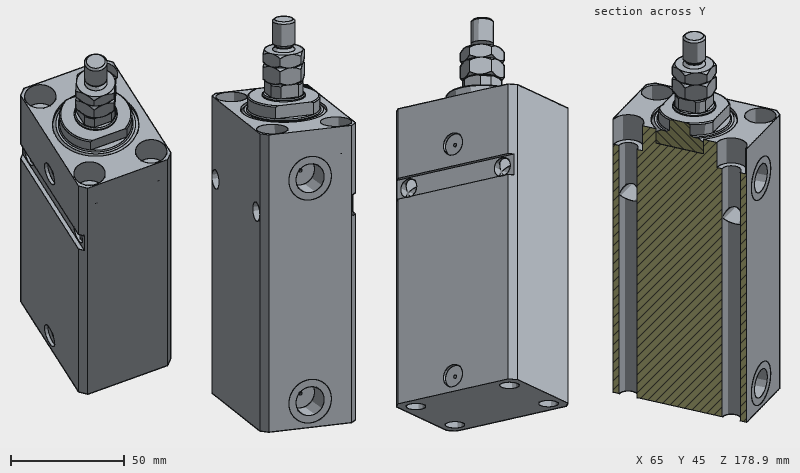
import cadquery as cq
import math

HOUSING_WIDTH = 65.0
HOUSING_DEPTH = 45.0
HOUSING_HEIGHT = 137.2
CORNER_CHAMFER = 3.0

MOUNT_SPACING_X = 50.1
MOUNT_SPACING_Y = 30.0
BOLT_DIAMETER = 8.5
COUNTERBORE_DIAMETER = 13.8
COUNTERBORE_DEPTH = 12.5

SLOT_DEPTH = 2.0
SLOT_HEIGHT = 9.7
SLOT_CENTRE_Z = HOUSING_HEIGHT - 37.2

UPPER_PORT_Z = HOUSING_HEIGHT - 22.2
SIDE_PORT_LOWER_Z = 12.2
SIDE_PORT_DIAMETER = 13.2
SIDE_PORT_DEPTH = 12.0
SPOTFACE_DIAMETER = 20.0
SPOTFACE_DEPTH = 0.09
FRONT_PORT_LOWER_Z = 7.3
FRONT_RECESS_DIAMETER = 10.2
FRONT_RECESS_DEPTH = 1.6
PILOT_DIAMETER = 1.5
PILOT_DEPTH = 1.8

GLAND_TOP_Z = HOUSING_HEIGHT + 6.5
GLAND_SEAT_DEPTH = 7.2
FLANGE_RADIUS = 19.0
FLANGE_CHAMFER = 1.5
HEAD_RADIUS = 16.0
HEAD_CHAMFER = 0.5
HEAD_ACROSS_FLATS = 26.5
SKIRT_FLARE = 0.5

ROD_RADIUS = 9.5
ROD_END_RADIUS = 8.5
ROD_END_CHAMFER = 0.7
ROD_CHAMFER = 0.5
ROD_STEP_Z = GLAND_TOP_Z + 1.0
ROD_ACROSS_FLATS = 15.0
ROD_SHOULDER_Z = 151.0

STUD_RADIUS = 5.0
STUD_CHAMFER = 0.9
NECK_RADIUS = 3.8
NECK_HEIGHT = 0.4
HEX_ACROSS_FLATS = 17.0
NUT_HEIGHT = 7.9
COLLAR_HEIGHT = 6.0
TOP_Z = 178.9

COLLAR_BOTTOM_Z = ROD_SHOULDER_Z + NUT_HEIGHT
COLLAR_TOP_Z = COLLAR_BOTTOM_Z + COLLAR_HEIGHT
SEAT_Z = HOUSING_HEIGHT - GLAND_SEAT_DEPTH
FRONT_Y = -HOUSING_DEPTH / 2
LEFT_X = -HOUSING_WIDTH / 2


def cylinder(radius, bottom_z, top_z):
    return cq.Workplane("XY").workplane(offset=bottom_z).circle(radius).extrude(top_z - bottom_z)


def revolved(profile):
    """Turn a closed (radius, z) outline about the Z axis."""
    return cq.Workplane("XZ").polyline(profile).close().revolve(360, (0, 0), (0, 1))


def hole_along_x(diameter, z, start_x, depth):
    return cq.Workplane("YZ", origin=(start_x, 0, z)).circle(diameter / 2).extrude(depth)


def hole_along_y(diameter, x, z, start_y, depth):
    """A hole cutter running from start_y towards +Y."""
    return cq.Workplane("XZ", origin=(x, start_y, z)).circle(diameter / 2).extrude(-depth)


def chamfered_hexagon(bottom_z, height):
    """A hexagon with corners on the Y axis, bevelled at 45 degrees at both ends."""
    flat_radius = HEX_ACROSS_FLATS / 2
    corner_radius = flat_radius / math.cos(math.pi / 6)
    bevel = corner_radius - flat_radius
    top_z = bottom_z + height
    hexagon = (
        cq.Workplane("XY")
        .workplane(offset=bottom_z)
        .polygon(6, 2 * corner_radius)
        .extrude(height)
        .rotate((0, 0, 0), (0, 0, 1), 30)
    )
    envelope = revolved([
        (0, bottom_z),
        (flat_radius, bottom_z),
        (corner_radius, bottom_z + bevel),
        (corner_radius, top_z - bevel),
        (flat_radius, top_z),
        (0, top_z),
    ])
    return hexagon.intersect(envelope)


def housing_block():
    half_x = HOUSING_WIDTH / 2
    half_y = HOUSING_DEPTH / 2
    inner_x = half_x - CORNER_CHAMFER
    inner_y = half_y - CORNER_CHAMFER
    outline = [
        (-inner_x, -half_y), (inner_x, -half_y), (half_x, -inner_y), (half_x, inner_y),
        (inner_x, half_y), (-inner_x, half_y), (-half_x, inner_y), (-half_x, -inner_y),
    ]
    return cq.Workplane("XY").polyline(outline).close().extrude(HOUSING_HEIGHT)


def cut_mounting_holes(block):
    return (
        block.faces(">Z")
        .workplane(origin=(0, 0, HOUSING_HEIGHT))
        .rarray(MOUNT_SPACING_X, MOUNT_SPACING_Y, 2, 2)
        .cboreHole(BOLT_DIAMETER, COUNTERBORE_DIAMETER, COUNTERBORE_DEPTH)
    )


def cut_cross_slot(block):
    slot = cq.Workplane("XY").box(HOUSING_WIDTH, 2 * SLOT_DEPTH, SLOT_HEIGHT)
    block = block.cut(slot.translate((0, FRONT_Y, SLOT_CENTRE_Z)))
    for x in (-MOUNT_SPACING_X / 2, MOUNT_SPACING_X / 2):
        block = block.cut(hole_along_y(BOLT_DIAMETER, x, SLOT_CENTRE_Z, FRONT_Y, HOUSING_DEPTH))
    return block


def cut_side_ports(block):
    for z in (SIDE_PORT_LOWER_Z, UPPER_PORT_Z):
        block = block.cut(hole_along_x(SPOTFACE_DIAMETER, z, LEFT_X, SPOTFACE_DEPTH))
        block = block.cut(hole_along_x(SIDE_PORT_DIAMETER, z, LEFT_X, SIDE_PORT_DEPTH))
        block = block.cut(hole_along_x(PILOT_DIAMETER, z, LEFT_X, SIDE_PORT_DEPTH + PILOT_DEPTH))
    return block


def cut_front_ports(block):
    for z in (FRONT_PORT_LOWER_Z, UPPER_PORT_Z):
        block = block.cut(hole_along_y(FRONT_RECESS_DIAMETER, 0, z, FRONT_Y, FRONT_RECESS_DEPTH))
        block = block.cut(hole_along_y(PILOT_DIAMETER, 0, z, FRONT_Y, FRONT_RECESS_DEPTH + PILOT_DEPTH))
    return block


def make_housing():
    block = cut_mounting_holes(housing_block())
    block = cut_cross_slot(block)
    block = cut_side_ports(block)
    block = cut_front_ports(block)
    gland_seat = cylinder(FLANGE_RADIUS, SEAT_Z, HOUSING_HEIGHT)
    return block.cut(gland_seat)


def make_gland():
    """A bevelled flange, a flared skirt and a round head with two spanner flats, bored for the rod."""
    flats_bottom_z = HOUSING_HEIGHT + SKIRT_FLARE
    bevel_bottom_z = HOUSING_HEIGHT - FLANGE_CHAMFER
    turned = revolved([
        (ROD_RADIUS, SEAT_Z),
        (FLANGE_RADIUS, SEAT_Z),
        (FLANGE_RADIUS, bevel_bottom_z),
        (FLANGE_RADIUS - FLANGE_CHAMFER, HOUSING_HEIGHT),
        (HEAD_RADIUS + SKIRT_FLARE, HOUSING_HEIGHT),
        (HEAD_RADIUS, flats_bottom_z),
        (HEAD_RADIUS, GLAND_TOP_Z - HEAD_CHAMFER),
        (HEAD_RADIUS - HEAD_CHAMFER, GLAND_TOP_Z),
        (ROD_RADIUS, GLAND_TOP_Z),
    ])
    between_flats = (
        cq.Workplane("XY")
        .workplane(offset=flats_bottom_z)
        .rect(HEAD_ACROSS_FLATS, 2 * HEAD_RADIUS)
        .extrude(GLAND_TOP_Z - flats_bottom_z)
    )
    outside_flats = cylinder(FLANGE_RADIUS, flats_bottom_z, GLAND_TOP_Z).cut(between_flats)
    return turned.cut(outside_flats)


def make_rod():
    """Rod with four spanner flats, carrying a hexagonal collar and an undercut threaded end."""
    shank = revolved([
        (0, SEAT_Z),
        (ROD_RADIUS, SEAT_Z),
        (ROD_RADIUS, ROD_STEP_Z - ROD_CHAMFER),
        (ROD_RADIUS - ROD_CHAMFER, ROD_STEP_Z),
        (0, ROD_STEP_Z),
    ])
    flats = (
        cq.Workplane("XY")
        .workplane(offset=ROD_STEP_Z)
        .rect(ROD_ACROSS_FLATS, ROD_ACROSS_FLATS)
        .extrude(ROD_SHOULDER_Z - ROD_STEP_Z)
    )
    spanner_end = (
        cylinder(ROD_END_RADIUS, ROD_STEP_Z, ROD_SHOULDER_Z)
        .faces(">Z")
        .chamfer(ROD_END_CHAMFER)
        .intersect(flats)
    )
    undercut = STUD_RADIUS - NECK_RADIUS
    neck_top_z = COLLAR_TOP_Z + undercut + NECK_HEIGHT
    stud = revolved([
        (0, ROD_SHOULDER_Z),
        (STUD_RADIUS, ROD_SHOULDER_Z),
        (STUD_RADIUS, COLLAR_TOP_Z),
        (NECK_RADIUS, COLLAR_TOP_Z + undercut),
        (NECK_RADIUS, neck_top_z),
        (STUD_RADIUS, neck_top_z + undercut),
        (STUD_RADIUS, TOP_Z - STUD_CHAMFER),
        (STUD_RADIUS - STUD_CHAMFER, TOP_Z),
        (0, TOP_Z),
    ])
    collar = chamfered_hexagon(COLLAR_BOTTOM_Z, COLLAR_HEIGHT)
    return shank.union(spanner_end).union(stud).union(collar)


def make_lock_nut():
    nut = chamfered_hexagon(ROD_SHOULDER_Z, NUT_HEIGHT)
    return nut.cut(cylinder(STUD_RADIUS, ROD_SHOULDER_Z, COLLAR_BOTTOM_Z))


housing = make_housing()
gland = make_gland()
rod = make_rod()
lock_nut = make_lock_nut()

result = cq.Compound.makeCompound([housing.val(), gland.val(), rod.val(), lock_nut.val()])